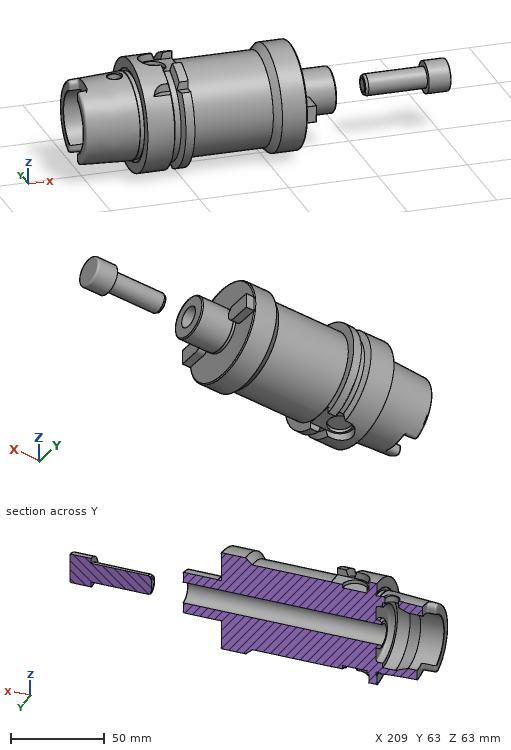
import cadquery as cq

SHANK_LENGTH = 31.5
SHANK_END_RADIUS = 45.5 / 2
TAPER_SLOPE = 0.05
ROOT_NECK_LENGTH = 1.9
ROOT_NECK_DEPTH = 0.5
FACE_GROOVE_RADIUS = 51.0 / 2
FACE_GROOVE_DEPTH = 0.6
SHANK_END_FILLET = 1.3

BORE_MOUTH_RADIUS = 34.0 / 2
BORE_MOUTH_CHAMFER = 0.2
CLAMP_CONE_START = 13.5
CLAMP_CONE_END = 21
CLAMP_GROOVE_RADIUS = 40.0 / 2
CLAMP_GROOVE_END = 28.2
BORE_FLOOR_RADIUS = 34.5 / 2
BORE_FLOOR_FILLET = 1.3
BORE_DEPTH = 32.0
BOSS_RADIUS = 18.0 / 2
BOSS_HEIGHT = 3.1
BOSS_CHAMFER = 1.3
SCREW_HOLE_RADIUS = 12.5 / 2

END_SLOT_WIDTH = 12.1
END_SLOT_RIM_FILLET = 5.2 / 2
END_SLOT_FILLET = 1.0
TOP_SLOT_DEPTH = 5.2
BOTTOM_SLOT_DEPTH = 8.4

ACCESS_HOLE_X = 23
ACCESS_HOLE_DIAMETER = 7.5
ACCESS_HOLE_CHAMFER = 0.6

FLANGE_RADIUS = 63.0 / 2
FLANGE_END = 57.9
GROOVE_RADIUS = 55.2 / 2
GROOVE_TOP_START = 46.6
GROOVE_TOP_END = 52.9
GROOVE_FLANK = 1.5

CUTTER_DIAMETER = 16.0
FLANGE_SLOT_CENTRE_X = 44.5
FLANGE_SLOT_FLOOR = 26.3
SLOT_RECESS_DIAMETER = 14.0
SLOT_RECESS_DEPTH = 2.0
NOTCH_CORNER = 19.9

BODY_RADIUS = 52.9 / 2
COLLAR_CONE_START = 103.5
COLLAR_START = 107.5
COLLAR_END = 121.6
COLLAR_RADIUS = 60.0 / 2
COLLAR_CHAMFER = 0.6
NECK_RADIUS = 25 / 2
NECK_END = 123.3
SPIGOT_RADIUS = 25.5 / 2
SPIGOT_END = 143.5
SPIGOT_CHAMFER = 0.6

KEY_WIDTH = 9.5
KEY_OUTER_Y = 29.3
KEY_INNER_Y = 12.7
KEY_END = 126.7
KEY_END_FLAT = 0.05

SCREW_START = 161.8
SCREW_RADIUS = 12.0 / 2
SCREW_PILOT_RADIUS = 8.0 / 2
SCREW_PILOT_LENGTH = 0.5
SCREW_TIP_RADIUS = 10.5 / 2
SCREW_CHAMFER_END = 163.6
HEAD_START = 196.5
HEAD_END = 209
HEAD_RADIUS = 18.0 / 2
HEAD_FILLET = 1.0


def revolve_about_x(outline):
    """Close an (x, radius) outline and turn it about the X axis."""
    return outline.close().revolve(360, (0, 0, 0), (1, 0, 0))


def make_outer_form():
    taper_end = SHANK_LENGTH - ROOT_NECK_LENGTH
    taper_end_radius = SHANK_END_RADIUS + TAPER_SLOPE * taper_end
    root_neck_radius = taper_end_radius - ROOT_NECK_DEPTH
    face_groove_floor = SHANK_LENGTH + FACE_GROOVE_DEPTH
    return revolve_about_x(
        cq.Workplane("XY")
        .lineTo(0, SHANK_END_RADIUS)
        .lineTo(taper_end, taper_end_radius)
        .lineTo(taper_end, root_neck_radius)
        .lineTo(face_groove_floor, root_neck_radius)
        .lineTo(face_groove_floor, FACE_GROOVE_RADIUS)
        .lineTo(SHANK_LENGTH, FACE_GROOVE_RADIUS)
        .lineTo(SHANK_LENGTH, FLANGE_RADIUS)
        .lineTo(GROOVE_TOP_START, FLANGE_RADIUS)
        .lineTo(GROOVE_TOP_START + GROOVE_FLANK, GROOVE_RADIUS)
        .lineTo(GROOVE_TOP_END - GROOVE_FLANK, GROOVE_RADIUS)
        .lineTo(GROOVE_TOP_END, FLANGE_RADIUS)
        .lineTo(FLANGE_END, FLANGE_RADIUS)
        .lineTo(FLANGE_END, BODY_RADIUS)
        .lineTo(COLLAR_CONE_START, BODY_RADIUS)
        .lineTo(COLLAR_START, COLLAR_RADIUS)
        .lineTo(COLLAR_END - COLLAR_CHAMFER, COLLAR_RADIUS)
        .lineTo(COLLAR_END, COLLAR_RADIUS - COLLAR_CHAMFER)
        .lineTo(COLLAR_END, NECK_RADIUS)
        .lineTo(NECK_END, NECK_RADIUS)
        .lineTo(NECK_END, SPIGOT_RADIUS)
        .lineTo(SPIGOT_END - SPIGOT_CHAMFER, SPIGOT_RADIUS)
        .lineTo(SPIGOT_END, SPIGOT_RADIUS - SPIGOT_CHAMFER)
        .lineTo(SPIGOT_END, 0)
    )


def make_bore():
    """Space inside the shank, around the boss on the bore floor, plus the screw hole."""
    boss_top = BORE_DEPTH - BOSS_HEIGHT
    chamber = revolve_about_x(
        cq.Workplane("XY")
        .lineTo(0, BORE_MOUTH_RADIUS + BORE_MOUTH_CHAMFER)
        .lineTo(BORE_MOUTH_CHAMFER, BORE_MOUTH_RADIUS)
        .lineTo(CLAMP_CONE_START, BORE_MOUTH_RADIUS)
        .lineTo(CLAMP_CONE_END, CLAMP_GROOVE_RADIUS)
        .lineTo(CLAMP_GROOVE_END, CLAMP_GROOVE_RADIUS)
        .lineTo(CLAMP_GROOVE_END, BORE_FLOOR_RADIUS)
        .lineTo(BORE_DEPTH - BORE_FLOOR_FILLET, BORE_FLOOR_RADIUS)
        .radiusArc((BORE_DEPTH, BORE_FLOOR_RADIUS - BORE_FLOOR_FILLET), BORE_FLOOR_FILLET)
        .lineTo(BORE_DEPTH, BOSS_RADIUS)
        .lineTo(boss_top + BOSS_CHAMFER, BOSS_RADIUS)
        .lineTo(boss_top, BOSS_RADIUS - BOSS_CHAMFER)
        .lineTo(boss_top, 0)
    )
    screw_hole = cq.Workplane("YZ").circle(SCREW_HOLE_RADIUS).extrude(SPIGOT_END)
    return chamber.union(screw_hole)


def cut_end_slot(arbor, depth, side):
    """Slot across the shank end, with rounded rims along its walls and rounded floor corners."""
    slot = cq.Workplane("XY").box(depth, END_SLOT_WIDTH, FLANGE_RADIUS, centered=(False, True, False))
    arbor = arbor.cut(slot if side > 0 else slot.mirror("XY"))
    half_width = END_SLOT_WIDTH / 2
    low = (0, -END_SLOT_WIDTH, side * BORE_MOUTH_RADIUS)
    high = (depth - END_SLOT_FILLET, END_SLOT_WIDTH, side * FLANGE_RADIUS)
    arbor = arbor.edges(cq.selectors.BoxSelector(low, high)).fillet(END_SLOT_RIM_FILLET)
    for y in (-half_width, half_width):
        floor_corner = cq.selectors.NearestToPointSelector((depth, y, side * FLANGE_RADIUS / 3))
        arbor = arbor.edges("|Z").edges(floor_corner).fillet(END_SLOT_FILLET)
    return arbor


def make_access_hole():
    skin_z = SHANK_END_RADIUS + TAPER_SLOPE * ACCESS_HOLE_X
    radius = ACCESS_HOLE_DIAMETER / 2
    mouth_radius = radius + ACCESS_HOLE_CHAMFER
    return (
        cq.Workplane("XZ", origin=(ACCESS_HOLE_X, 0, 0))
        .lineTo(radius, 0)
        .lineTo(radius, skin_z - ACCESS_HOLE_CHAMFER)
        .lineTo(mouth_radius, skin_z)
        .lineTo(mouth_radius, FLANGE_RADIUS)
        .lineTo(0, FLANGE_RADIUS)
        .close()
        .revolve(360, (0, 0, 0), (0, 1, 0))
    )


def make_milled_slot(centre_y, floor_z):
    """Round-ended slot that runs out through the +X side of the flange."""
    radius = CUTTER_DIAMETER / 2
    height = FLANGE_RADIUS - floor_z
    plane = cq.Workplane("XY", origin=(FLANGE_SLOT_CENTRE_X, centre_y, floor_z))
    straight = plane.rect(FLANGE_END - FLANGE_SLOT_CENTRE_X, CUTTER_DIAMETER, centered=(False, True))
    return straight.extrude(height).union(plane.circle(radius).extrude(height))


def make_flange_slot():
    recess = (
        cq.Workplane("XY", origin=(FLANGE_SLOT_CENTRE_X, 0, FLANGE_SLOT_FLOOR - SLOT_RECESS_DEPTH))
        .circle(SLOT_RECESS_DIAMETER / 2)
        .extrude(SLOT_RECESS_DEPTH)
    )
    return make_milled_slot(0, FLANGE_SLOT_FLOOR).union(recess)


def make_key(side):
    """Key with a rounded inner end, its long side along Y."""
    length = KEY_OUTER_Y - KEY_INNER_Y
    key = (
        cq.Workplane("XY", origin=(COLLAR_END - COLLAR_CHAMFER, KEY_INNER_Y, -KEY_WIDTH / 2))
        .rect(KEY_END - COLLAR_END + COLLAR_CHAMFER, length, centered=False)
        .extrude(KEY_WIDTH)
        .edges("|X and <Y")
        .fillet((KEY_WIDTH - KEY_END_FLAT) / 2)
    )
    return key if side > 0 else key.mirror("XZ")


def make_arbor():
    arbor = make_outer_form()
    for depth, side in ((TOP_SLOT_DEPTH, 1), (BOTTOM_SLOT_DEPTH, -1)):
        arbor = cut_end_slot(arbor, depth, side)
    arbor = arbor.faces("<X").edges().fillet(SHANK_END_FILLET)
    arbor = arbor.cut(make_bore()).cut(make_access_hole())
    flange_slot = make_flange_slot()
    arbor = arbor.cut(flange_slot).cut(flange_slot.mirror("XY"))
    arbor = arbor.cut(make_milled_slot(-NOTCH_CORNER - CUTTER_DIAMETER / 2, NOTCH_CORNER))
    for side in (1, -1):
        arbor = arbor.union(make_key(side))
    return arbor


def make_screw():
    pilot_end = SCREW_START + SCREW_PILOT_LENGTH
    return revolve_about_x(
        cq.Workplane("XY")
        .moveTo(SCREW_START, 0)
        .lineTo(SCREW_START, SCREW_PILOT_RADIUS)
        .lineTo(pilot_end, SCREW_PILOT_RADIUS)
        .lineTo(pilot_end, SCREW_TIP_RADIUS)
        .lineTo(SCREW_CHAMFER_END, SCREW_RADIUS)
        .lineTo(HEAD_START, SCREW_RADIUS)
        .lineTo(HEAD_START, HEAD_RADIUS)
        .lineTo(HEAD_END - HEAD_FILLET, HEAD_RADIUS)
        .radiusArc((HEAD_END, HEAD_RADIUS - HEAD_FILLET), HEAD_FILLET)
        .lineTo(HEAD_END, 0)
    )


arbor = make_arbor()
screw = make_screw()
result = cq.Compound.makeCompound([arbor.val(), screw.val()])